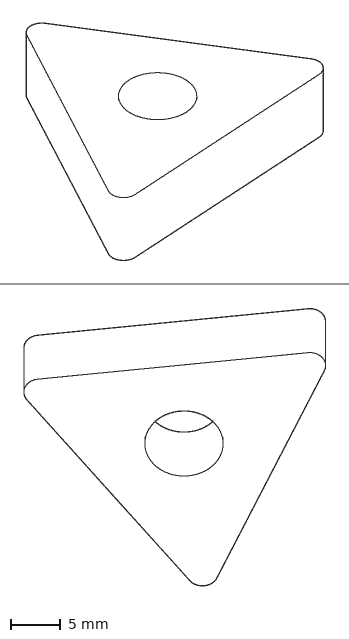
import cadquery as cq
import math

overall_width = 30.67
corner_radius = 1.6
thickness = 7.95
hole_diameter = 7.9

arc_centre_spacing = overall_width - 2 * corner_radius
arc_centre_distance = arc_centre_spacing / math.sqrt(3)

sharp_corner_distance = arc_centre_distance + 2 * corner_radius


def triangle_corner(angle_degrees):
    angle = math.radians(angle_degrees)
    return sharp_corner_distance * math.cos(angle), sharp_corner_distance * math.sin(angle)


corners = [triangle_corner(angle) for angle in (90, 210, 330)]
plate = cq.Workplane("XY").polyline(corners).close().extrude(thickness)
plate = plate.edges("|Z").fillet(corner_radius)

hole = cq.Workplane("XY").circle(hole_diameter / 2).extrude(thickness)
result = plate.cut(hole)